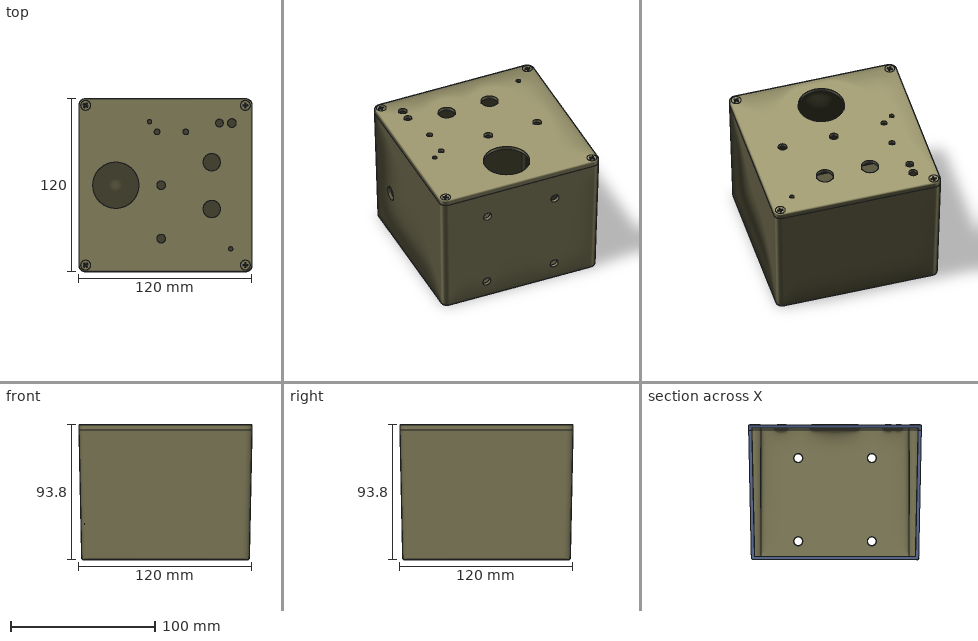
import cadquery as cq

side = 120.0
height = 93.8

lid_height = 3.8
lid_thickness = 2.5
lid_corner_radius = 5.0
lid_edge_radius = 1.0

box_height = height - lid_height
box_draft = 1.2
box_corner_radius = 4.5
box_edge_radius = 1.7
wall = 2.5
floor = wall

screw_offset = 55.3
screw_head_diameter = 6.8
screw_shank_diameter = 3.4
screw_head_height = (screw_head_diameter - screw_shank_diameter) / 2
screw_length = 14.4
recess_length = 3.6
recess_width = 0.7
recess_depth = 1.2
post_diameter = 8.0

screws = [
    (1, 1, 0.0),
    (1, -1, 0.0),
    (-1, 1, 55.0),
    (-1, -1, 40.0),
]

lid_holes = [
    (-34.5, 0.0, 32.0),
    (32.0, 16.0, 12.0),
    (32.0, -16.5, 12.0),
    (-3.0, 0.0, 6.0),
    (-3.0, -37.0, 6.0),
    (46.0, 43.1, 6.0),
    (37.3, 43.1, 5.4),
    (-5.9, 37.0, 4.0),
    (14.0, 37.0, 4.0),
    (-11.0, 44.0, 3.0),
    (45.1, -44.0, 3.0),
]

mount_hole_diameter = 6.0
mount_hole_spacing_y = 51.0
mount_hole_spacing_z = 57.6
mount_hole_lowest_z = 13.0
cable_hole_diameter = 10.0
cable_hole_x = 31.2
cable_hole_z = 37.2
wall_drill_depth = side / 4


def tapered_block(top_side, bottom_z, corner_radius):
    """Block that narrows downward from the box rim to bottom_z, with rounded upright edges."""
    return (
        cq.Workplane("XY", origin=(0, 0, box_height))
        .rect(top_side, top_side)
        .extrude(bottom_z - box_height, taper=box_draft)
        .edges("not #Z")
        .fillet(corner_radius)
    )


def corner_posts(bottom_z, top_z):
    """Round posts on the four screw axes."""
    return (
        cq.Workplane("XY", origin=(0, 0, bottom_z))
        .rect(2 * screw_offset, 2 * screw_offset, forConstruction=True)
        .vertices()
        .circle(post_diameter / 2)
        .extrude(top_z - bottom_z)
    )


def screw_blank(x, y):
    """Screw without its recess: a cone-shaped head, flush with the lid, on a plain shank."""
    head_radius = screw_head_diameter / 2
    shank_radius = screw_shank_diameter / 2
    profile = [
        (0, 0),
        (head_radius, 0),
        (shank_radius, -screw_head_height),
        (shank_radius, -screw_length),
        (0, -screw_length),
    ]
    return (
        cq.Workplane("XZ")
        .polyline(profile)
        .close()
        .revolve(360, (0, 0), (0, 1))
        .translate((x, y, height))
    )


def make_screw(x, y, angle):
    """Screw with a cross recess turned by angle."""
    screw = screw_blank(x, y)
    for bar_angle in (angle, angle + 90):
        bar = (
            cq.Workplane("XY")
            .box(recess_length, recess_width, recess_depth, centered=(True, True, False))
            .rotate((0, 0, 0), (0, 0, 1), bar_angle)
            .translate((x, y, height - recess_depth))
        )
        screw = screw.cut(bar)
    return screw


def make_box():
    """Open box with corner posts for the screws and holes in two walls."""
    outer = tapered_block(side, 0, box_corner_radius).faces("<Z").edges().fillet(box_edge_radius)
    cavity = tapered_block(side - 2 * wall, floor, box_corner_radius - wall)
    box = outer.cut(cavity.cut(corner_posts(0, box_height)))

    mount_holes = (
        cq.Workplane("YZ", origin=(-side / 2, 0, mount_hole_lowest_z + mount_hole_spacing_z / 2))
        .rect(mount_hole_spacing_y, mount_hole_spacing_z, forConstruction=True)
        .vertices()
        .circle(mount_hole_diameter / 2)
        .extrude(wall_drill_depth)
    )
    cable_hole = (
        cq.Workplane("XZ", origin=(cable_hole_x, side / 2, cable_hole_z))
        .circle(cable_hole_diameter / 2)
        .extrude(wall_drill_depth)
    )
    return box.cut(mount_holes).cut(cable_hole)


def make_lid():
    """Lid with a rim, solid corners under the screws and the panel holes."""
    lid = (
        cq.Workplane("XY", origin=(0, 0, box_height))
        .rect(side, side)
        .extrude(lid_height)
        .edges("|Z")
        .fillet(lid_corner_radius)
        .faces(">Z")
        .edges()
        .fillet(lid_edge_radius)
    )
    pocket = (
        cq.Workplane("XY", origin=(0, 0, box_height))
        .rect(side - 2 * wall, side - 2 * wall)
        .extrude(lid_height - lid_thickness)
        .cut(corner_posts(box_height, height))
    )
    lid = lid.cut(pocket)
    for x, y, diameter in lid_holes:
        hole = cq.Workplane("XY", origin=(x, y, box_height)).circle(diameter / 2).extrude(lid_height)
        lid = lid.cut(hole)
    return lid


box = make_box()
lid = make_lid()
screw_bodies = []
for x_sign, y_sign, angle in screws:
    x = x_sign * screw_offset
    y = y_sign * screw_offset
    box = box.cut(screw_blank(x, y))
    lid = lid.cut(screw_blank(x, y))
    screw_bodies.append(make_screw(x, y, angle).val())

result = cq.Compound.makeCompound([box.val(), lid.val(), *screw_bodies])